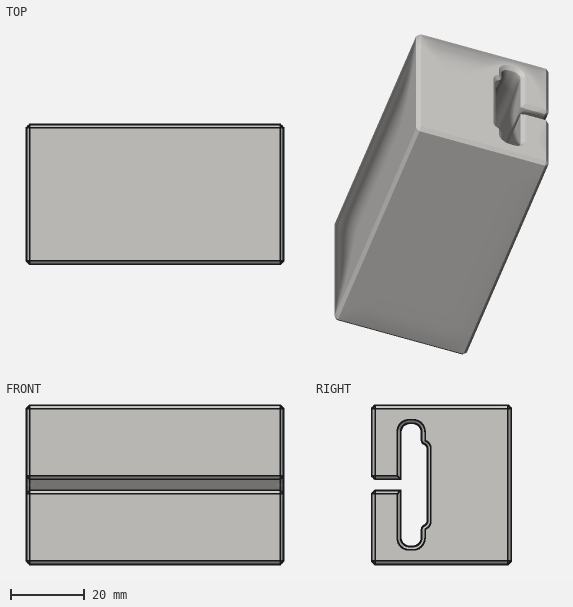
import cadquery as cq
import math

length = 70.0
depth = 38.1
height = 43.4
edge_chamfer = 1.0

lip_thickness = 8.0
slot_width = 5.6
slot_height = 33.45
slot_corner_radius = 2.3
mouth_height = 3.0

recess_depth = 1.6
recess_height = 24.65
blend_radius = 1.4

front_y = -depth / 2
lip_y = front_y + lip_thickness
rear_y = lip_y + slot_width
recess_y = rear_y + recess_depth


def make_slot():
    """Rounded slot along X."""
    return (
        cq.Workplane("XY")
        .box(length, slot_width, slot_height)
        .edges("|X")
        .fillet(slot_corner_radius)
        .translate((0, (lip_y + rear_y) / 2, 0))
    )


def make_mouth():
    """Opening from the front face into the slot."""
    reach = lip_thickness + slot_width / 2
    return cq.Workplane("XY").box(length, reach, mouth_height).translate((0, front_y + reach / 2, 0))


def make_recess():
    """Recess whose ends follow S-shaped blends tangent to both walls."""
    turn = math.acos(1 - recess_depth / (2 * blend_radius))
    half_turn_rise = blend_radius * math.sin(turn / 2)
    half_turn_shift = blend_radius * (1 - math.cos(turn / 2))
    arc_rise = blend_radius * math.sin(turn)
    top = recess_height / 2
    middle_y = rear_y + recess_depth / 2
    middle_z = top - arc_rise
    floor_z = top - 2 * arc_rise
    outer_arc_point = (rear_y + half_turn_shift, top - half_turn_rise)
    inner_arc_point = (recess_y - half_turn_shift, floor_z + half_turn_rise)
    return (
        cq.Workplane("YZ", origin=(-length / 2, 0, 0))
        .moveTo(rear_y, top)
        .threePointArc(outer_arc_point, (middle_y, middle_z))
        .threePointArc(inner_arc_point, (recess_y, floor_z))
        .lineTo(recess_y, -floor_z)
        .threePointArc((inner_arc_point[0], -inner_arc_point[1]), (middle_y, -middle_z))
        .threePointArc((outer_arc_point[0], -outer_arc_point[1]), (rear_y, -top))
        .close()
        .extrude(length)
    )


block = cq.Workplane("XY").box(length, depth, height)
body = block.cut(make_slot()).cut(make_mouth()).cut(make_recess())

end_edges = body.faces("<X or >X").edges()
long_edges = body.faces("<Y or >Y").edges("|X")
result = body.newObject(end_edges.add(long_edges).vals()).chamfer(edge_chamfer)